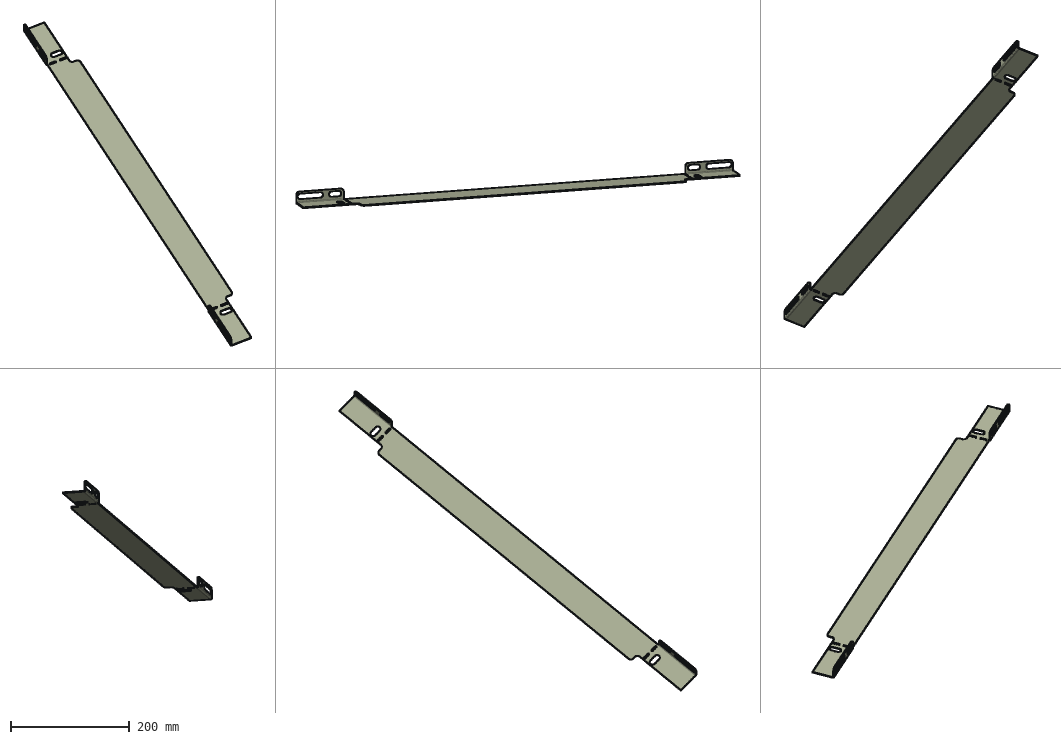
import cadquery as cq

length = 774.0
depth = 55.0
height = 20.0
half_length = length / 2
thickness = 2.0
bend_inner_radius = 1.0
bend_outer_radius = bend_inner_radius + thickness

tab_depth = 39.5
panel_half_length = 288.0
panel_front = 2.0
neck_overlap = 8.0
panel_corner_radius = 5.5

flange_length = 84.0
flange_inner_end = half_length - flange_length
flange_corner_radius = 6.0

flange_slot_width = 9.0
flange_slot_z = 11.5
long_slot_length = 45.0
long_slot_center = half_length - 25.0
short_slot_length = 22.0
short_slot_center = half_length - 69.0

tab_slot_width = 9.0
tab_slot_length = 21.0
tab_slot_x = half_length - 70.5
tab_slot_y = 27.0

cut_width = 2.0
rear_cut_start = 25.5
rear_cut_length = 11.5
front_cut_start = 7.0
front_cut_length = 11.0


def box(x_min, x_max, y_min, y_max, z_max):
    """Block resting on Z = 0 between the given limits."""
    size = (x_max - x_min, y_max - y_min, z_max)
    return cq.Workplane("XY").box(*size, centered=False).translate((x_min, y_min, 0))


def make_panel():
    panel = box(0, panel_half_length, panel_front, depth, thickness)
    return panel.edges("|Z and >X and >Y").fillet(panel_corner_radius)


def make_tab():
    """L-shaped end tab with a rounded bend between base and flange."""
    outside = box(flange_inner_end, half_length, 0, tab_depth, height)
    outside = outside.edges("|X and <Y and <Z").fillet(bend_outer_radius)
    inside = box(flange_inner_end, half_length, thickness, tab_depth, height)
    inside = inside.translate((0, 0, thickness))
    inside = inside.edges("|X and <Y and <Z").fillet(bend_inner_radius)
    tab = outside.cut(inside)
    return tab.edges("|Y and >Z").fillet(flange_corner_radius)


def make_neck():
    """Flat neck that carries the tab into the panel."""
    return box(panel_half_length - neck_overlap, flange_inner_end, panel_front, tab_depth, thickness)


def cut_flange_slot(body, center_x, slot_length):
    cutter = (
        cq.Workplane("XZ")
        .center(center_x, flange_slot_z)
        .slot2D(slot_length, flange_slot_width)
        .extrude(thickness, both=True)
    )
    return body.cut(cutter)


def cut_tab_slot(body):
    cutter = (
        cq.Workplane("XY")
        .center(tab_slot_x, tab_slot_y)
        .slot2D(tab_slot_length, tab_slot_width, 90)
        .extrude(thickness)
    )
    return body.cut(cutter)


def cut_separation_line(body):
    """Two closed cuts leave strips of sheet between tab and panel."""
    x_min = flange_inner_end - cut_width
    x_max = flange_inner_end
    rear_cut_end = rear_cut_start + rear_cut_length
    rear_cut = box(x_min, x_max, rear_cut_start, rear_cut_end, thickness)
    front_cut_end = front_cut_start + front_cut_length
    front_cut = box(x_min, x_max, front_cut_start, front_cut_end, thickness)
    return body.cut(rear_cut).cut(front_cut)


half = make_panel().union(make_neck()).union(make_tab())
inner_corner = cq.selectors.NearestToPointSelector((panel_half_length, tab_depth, thickness / 2))
half = half.edges("|Z").edges(inner_corner).fillet(panel_corner_radius)
half = cut_flange_slot(half, long_slot_center, long_slot_length)
half = cut_flange_slot(half, short_slot_center, short_slot_length)
half = cut_tab_slot(half)
half = cut_separation_line(half)

centered_half = half.translate((0, -depth / 2, 0))
result = centered_half.union(centered_half.mirror("YZ"))